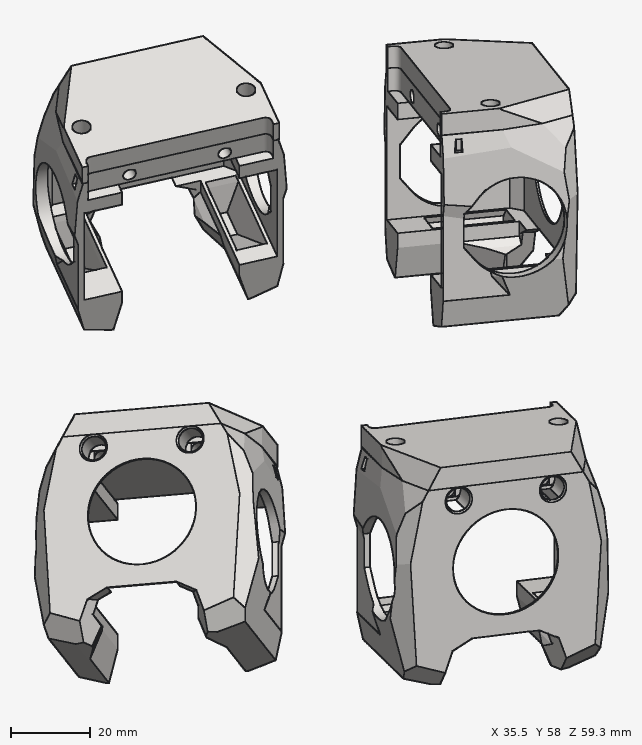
import cadquery as cq
import math


length = 35.45
width = 57.95
half_width = width / 2
height = 59.3
lid_thickness = 5.75
seam_z = height - lid_thickness
lid_half_width = 25.9

front_wall = 0.6
floor_z = 12.7
ceiling_z = 47.4
cavity_half_width = 15.4
pocket_half_width = 25.4
pocket_front_half_width = 22.55
pocket_corner_x = 3.55

front_hole_diameter = 28.0
front_hole_z = 32.0
screw_y = 12.5
screw_z = 50.0
screw_diameter = 3.4
counterbore_diameter = 6.2
counterbore_mouth_diameter = 7.1
counterbore_depth = 7.1
bridge_step = 0.3
lid_hole_diameter = 4.7
lid_hole_x = 21.65
lid_hole_y = 21.65

notch_depth = 2.95
notch_half_width = 24.4
notch_radius = 1.6

fan_z = 27.9
pocket_top_z = 2 * fan_z - floor_z
fan_radius = 13.15
fan_flat_offset = 13.35
fan_flat_half_height = 4.5
left_fan_x = 18.7
right_fan_x = 16.7

recess_half_width = 27.0
recess_rise = 2.1
recess_left_spread = 2.0 * recess_rise
recess_top_spread = 3.6 * recess_rise

slot_floor_half_width = 25.5
slot_front_x = 30.35
slot_floor_rear_x = 31.6
slot_mouth_rear_x = 33.7
slot_bottom_z = 49.0
slot_top_z = 52.2

arch_half_width = 8.9
arch_end = (14.1, 9.95)
rib_length = 3.8
rib_top = (11.9, 11.1)
rib_foot = (13.5, 7.05)
leg_inner = cavity_half_width
leg_bend_z = 8.8
leg_foot = 17.7
nozzle_lip = (12.5, 5.4)
nozzle_foot = 14.7
nozzle_length = 21.35
nozzle_root = 18.4
duct_front_x = 4.75
left_duct_rear_x = 26.1
right_duct_rear_x = 30.25
duct_inner = 16.4
duct_outer = 24.4
duct_neck_z = 11.0
duct_neck_shift = 0.55
duct_bottom_z = 2.95
duct_bottom_front_x = 7.1
duct_bottom_rear_x = 15.4
duct_bottom_inner = 18.7
duct_bottom_outer = 21.35

face_top = (0, 17.3, height)
face_upper = (0, 22.1, 50.65)
face_middle = (0, 25.3, 34.6)
face_lower = (0, 23.7, 7.2)
face_foot = (0, 16.05, 4.4)
lid_corner = (20.45, lid_half_width, height)
seam_front = (8.95, 24.3, seam_z)
seam_side = (19.75, lid_half_width, seam_z)
side_upper = (18.2, 27.1, 48.9)
side_rear = (length, 27.15, 47.8)
side_front = (4.15, 27.6, 41.2)
cheek_front = (2.9, 28.0, 33.8)
widest = (4.9, half_width, 18.75)
sole_corner = (4.9, 25.45, 2.25)
sole_inner = (4.9, 18.25, 0)

block_size = 177.9


def left_point(point):
    x, out, z = point
    return cq.Vector(x, -out, z)


def at_x(point, x):
    return (x, point[1], point[2])


def at_z(point, z):
    return (point[0], point[1], z)


def outside(first, second, third, outward):
    """A large block on the `outward` side of the plane through three points."""
    origin = left_point(first)
    along = left_point(second) - origin
    normal = along.cross(left_point(third) - origin)
    if normal.dot(left_point(outward)) < 0:
        normal = normal * -1
    plane = cq.Plane(origin=origin, xDir=along, normal=normal)
    return cq.Workplane(plane).box(block_size, block_size, block_size, centered=(True, True, False))


def across(points, x_start, x_end):
    """Prism along X with an outline of (distance from the mirror plane, z) points on the left."""
    outline = [(-out, z) for out, z in points]
    profile = cq.Workplane("YZ").workplane(offset=x_start).polyline(outline).close()
    return profile.extrude(x_end - x_start)


def with_mirror(left_half):
    return left_half.union(left_half.mirror("XZ"))


def on_side(left_shape, side):
    return left_shape if side < 0 else left_shape.mirror("XZ")


def brow_block():
    """The slanted front face that the lid and the housing share."""
    return outside(face_top, lid_corner, seam_front, (-1, 1, 1))


def rear_notch():
    notch = cq.Workplane("XY").box(
        2 * notch_depth, 2 * notch_half_width, height - ceiling_z, centered=(True, True, False)
    )
    notch = notch.edges("|Z and <X").fillet(notch_radius)
    return notch.translate((length, 0, ceiling_z))




def make_lid():
    half = across(
        [(0, seam_z), (lid_half_width, seam_z), (lid_half_width, height), (0, height)], 0, length
    )
    half = half.cut(brow_block())
    half = half.cut(outside(seam_front, seam_side, at_z(seam_side, height), (0, 1, 0)))
    holes = (
        cq.Workplane("XY")
        .workplane(offset=seam_z)
        .pushPoints([(lid_hole_x, -lid_hole_y), (lid_hole_x, lid_hole_y)])
        .circle(lid_hole_diameter / 2)
        .extrude(lid_thickness)
    )
    return with_mirror(half).cut(holes).cut(rear_notch())




def outer_half():
    half = across([(0, 0), (half_width, 0), (half_width, seam_z), (0, seam_z)], 0, length)
    facets = [
        (seam_front, seam_side, side_front, (0, 1, 0)),
        (seam_side, side_upper, side_rear, (0, 1, 0)),
        (side_rear, side_front, widest, (0, 1, 0)),
        (widest, at_x(widest, length), sole_corner, (0, 1, 0)),
        (sole_corner, at_x(sole_corner, length), sole_inner, (0, 1, -1)),
        (face_upper, face_middle, side_front, (-1, 1, 0)),
        (face_middle, face_lower, cheek_front, (-1, 1, 0)),
        (face_foot, face_lower, sole_corner, (-1, 0, -1)),
    ]
    half = half.cut(brow_block())
    for facet in facets:
        half = half.cut(outside(*facet))
    return half


def central_cavity():
    return (
        cq.Workplane("XY")
        .box(length, 2 * cavity_half_width, ceiling_z - floor_z, centered=(False, True, False))
        .translate((front_wall, 0, floor_z))
    )


def fan_pockets():
    """Wider space for the fans, level with the side openings and narrowed at the front corners."""
    half_outline = [
        (front_wall, pocket_front_half_width),
        (pocket_corner_x, pocket_half_width),
        (length, pocket_half_width),
    ]
    outline = [(x, -y) for x, y in half_outline] + list(reversed(half_outline))
    profile = cq.Workplane("XY").workplane(offset=floor_z).polyline(outline).close()
    return profile.extrude(pocket_top_z - floor_z)


def passage_half():
    """The space between the legs."""
    return across(
        [(0, 0), (leg_foot, 0), (leg_inner, leg_bend_z), (leg_inner, floor_z), (0, floor_z)],
        0,
        length,
    )


def arch_rib():
    return across(
        [(arch_half_width, floor_z), arch_end, (leg_inner, arch_end[1]), (leg_inner, floor_z)],
        0,
        rib_length,
    )


def nozzle():
    """Wedge on the inner side of a leg, slanted at its front and its rear."""
    upper = across(
        [rib_top, rib_foot, (leg_inner, rib_foot[1]), (leg_inner, arch_end[1]), arch_end],
        0,
        rib_length,
    )
    lower = across(
        [
            (leg_inner, leg_bend_z),
            rib_foot,
            nozzle_lip,
            (nozzle_foot, 0),
            (nozzle_root, 0),
            (nozzle_root, leg_bend_z),
        ],
        0,
        nozzle_length,
    )
    front_edge = (0, *arch_end)
    front_inner = (7.25, 14.6, 0.3)
    rear_top = (20.15, leg_inner, leg_bend_z)
    rear_lip = (8.3, *nozzle_lip)
    rear_foot = (8.3, nozzle_foot, 0)
    wedge = upper.union(lower)
    wedge = wedge.cut(outside(front_edge, face_foot, front_inner, (-1, -1, 0)))
    return wedge.cut(outside(rear_top, rear_lip, rear_foot, (1, -1, 0)))


def duct_section(side, front_x, rear_x, inner, outer, z):
    center = ((front_x + rear_x) / 2, side * (inner + outer) / 2, z)
    outline = cq.Workplane("XY", origin=center).rect(rear_x - front_x, outer - inner)
    return outline.wires().val()


def duct(side, rear_x):
    """Hopper that runs steeply down to a neck, then narrows into the leg."""
    sections = [
        duct_section(side, duct_front_x, rear_x, duct_inner, duct_outer, floor_z),
        duct_section(
            side,
            duct_front_x + duct_neck_shift,
            rear_x - duct_neck_shift,
            duct_inner + duct_neck_shift,
            duct_outer + duct_neck_shift,
            duct_neck_z,
        ),
        duct_section(
            side,
            duct_bottom_front_x,
            duct_bottom_rear_x,
            duct_bottom_inner,
            duct_bottom_outer,
            duct_bottom_z,
        ),
    ]
    return cq.Workplane("XY").add(cq.Solid.makeLoft(sections, True))


def fan_opening(side, center_x):
    """Round opening whose rear closes with two tangents and a flat."""
    flat_angle = math.atan2(fan_flat_half_height, fan_flat_offset)
    flat_distance = math.hypot(fan_flat_offset, fan_flat_half_height)
    tangent_angle = flat_angle + math.acos(fan_radius / flat_distance)
    tangent_x = fan_radius * math.cos(tangent_angle)
    tangent_z = fan_radius * math.sin(tangent_angle)
    left_shape = (
        cq.Workplane("XZ", origin=(center_x, 0, fan_z))
        .workplane(offset=notch_half_width)
        .moveTo(tangent_x, tangent_z)
        .threePointArc((-fan_radius, 0), (tangent_x, -tangent_z))
        .lineTo(fan_flat_offset, -fan_flat_half_height)
        .lineTo(fan_flat_offset, fan_flat_half_height)
        .close()
        .extrude(half_width - notch_half_width)
    )
    return on_side(left_shape, side)


def fan_recess():
    """Shallow recess with sloping front and top edges, open at the rear and below."""
    floor_outline = [(18.2, 9.65), (22.85, 15.1), (26.7, 30.35), (length, 32.45), (length, 9.65)]
    spreads = [
        (-recess_left_spread, 0),
        (-recess_left_spread, 0),
        (-recess_left_spread, recess_top_spread),
        (0, recess_top_spread),
        (0, 0),
    ]
    mouth_outline = [(x + dx, z + dz) for (x, z), (dx, dz) in zip(floor_outline, spreads)]
    return (
        cq.Workplane("XZ")
        .workplane(offset=recess_half_width)
        .polyline(floor_outline)
        .close()
        .workplane(offset=recess_rise)
        .polyline(mouth_outline)
        .close()
        .loft(ruled=True)
    )


def side_slot():
    outline = [
        (slot_front_x, -slot_floor_half_width),
        (slot_floor_rear_x, -slot_floor_half_width),
        (slot_mouth_rear_x, -half_width),
        (slot_front_x, -half_width),
    ]
    profile = cq.Workplane("XY").workplane(offset=slot_bottom_z).polyline(outline).close()
    return profile.extrude(slot_top_z - slot_bottom_z)


def screw_hole(side):
    """Counterbored hole along X; two shallow steps lead from the counterbore to the hole."""
    start = cq.Workplane("YZ", origin=(0, side * screw_y, screw_z))
    mouth_depth = (counterbore_mouth_diameter - counterbore_diameter) / 2
    mouth = cq.Solid.makeCone(
        counterbore_mouth_diameter / 2,
        counterbore_diameter / 2,
        mouth_depth,
        cq.Vector(0, side * screw_y, screw_z),
        cq.Vector(1, 0, 0),
    )
    counterbore = start.circle(counterbore_diameter / 2).extrude(counterbore_depth)
    wide_step = (
        start.circle(counterbore_diameter / 2)
        .extrude(counterbore_depth + bridge_step)
        .intersect(start.rect(counterbore_diameter, screw_diameter).extrude(length))
    )
    square_step = start.rect(screw_diameter, screw_diameter).extrude(
        counterbore_depth + 2 * bridge_step
    )
    through = start.circle(screw_diameter / 2).extrude(length)
    return counterbore.union(mouth).union(wide_step).union(square_step).union(through)


def make_housing():
    skin = outer_half()
    half = skin.cut(passage_half())
    half = half.union(arch_rib().union(nozzle()).intersect(skin))
    half = half.cut(fan_recess()).cut(side_slot())
    body = with_mirror(half).cut(central_cavity()).cut(fan_pockets()).cut(rear_notch())

    front_hole = cq.Workplane("YZ", origin=(0, 0, front_hole_z)).circle(front_hole_diameter / 2)
    body = body.cut(front_hole.extrude(pocket_corner_x))
    for side, fan_x, duct_rear_x in [
        (-1, left_fan_x, left_duct_rear_x),
        (1, right_fan_x, right_duct_rear_x),
    ]:
        body = body.cut(fan_opening(side, fan_x))
        body = body.cut(duct(side, duct_rear_x))
        body = body.cut(screw_hole(side))
    return body


housing = make_housing()
lid = make_lid()

result = cq.Compound.makeCompound([housing.val(), lid.val()])